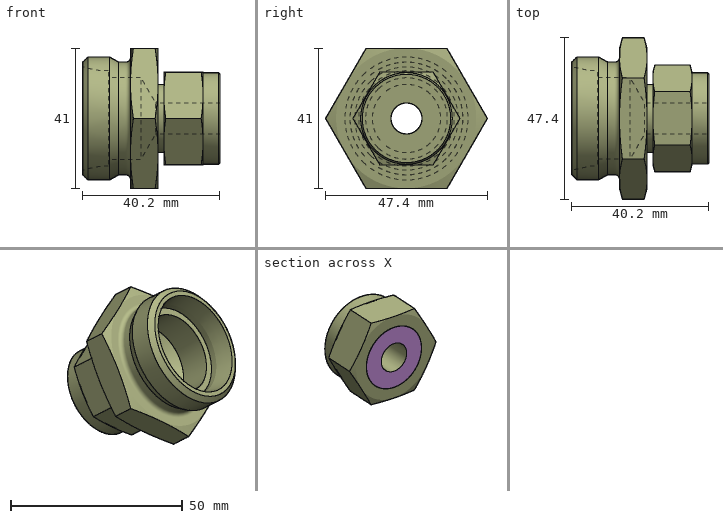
import cadquery as cq
import math

thread_end = 7.85
relief_start = 10.5
fillet_start = 12.65
body_hex_start = 13.95
body_hex_end = 22.0
nut_start = 23.7
nut_end = 35.15
total_length = 40.2

thread_radius = 18.0
thread_chamfer = 1.5
relief_radius = 16.5
neck_radius = 10.0
collar_radius = 13.4
collar_chamfer = 0.45
fillet_radius = body_hex_start - fillet_start

body_hex_corners = 47.35
nut_hex_flats = 27.1
half_hex_sector = math.radians(30)
nut_hex_corners = nut_hex_flats / math.cos(half_hex_sector)
hex_chamfer_angle = 15.0

mouth_radius = 15.1
socket_radius = 13.95
seat_half_angle = 12.0
seat_depth = (mouth_radius - socket_radius) / math.tan(math.radians(seat_half_angle))
socket_depth = 7.5
wide_bore_radius = 11.95
wide_bore_depth = 17.05
through_radius = 4.5
funnel_half_angle = 60.0
funnel_length = (wide_bore_radius - through_radius) / math.tan(math.radians(funnel_half_angle))
funnel_end = wide_bore_depth + funnel_length


def revolve_about_x(profile):
    """Revolve a closed (x, radius) profile of the XY plane about the X axis."""
    return profile.close().revolve(360, (0, 0, 0), (1, 0, 0))


def chamfered_hex(start, end, corners):
    """Hexagonal prism along X with its corners turned down by a cone at each end."""
    prism = (
        cq.Workplane("YZ", origin=(start, 0, 0))
        .polygon(6, corners)
        .extrude(end - start)
    )
    corner_radius = corners / 2
    face_radius = corner_radius * math.cos(half_hex_sector)
    chamfer_length = (corner_radius - face_radius) * math.tan(math.radians(hex_chamfer_angle))
    envelope = revolve_about_x(
        cq.Workplane("XY")
        .moveTo(start, 0)
        .lineTo(start, face_radius)
        .lineTo(start + chamfer_length, corner_radius)
        .lineTo(end - chamfer_length, corner_radius)
        .lineTo(end, face_radius)
        .lineTo(end, 0)
    )
    return prism.intersect(envelope)


def turned_body():
    """Threaded end, relief groove with its fillet, neck and end collar."""
    return revolve_about_x(
        cq.Workplane("XY")
        .lineTo(0, thread_radius - thread_chamfer)
        .lineTo(thread_chamfer, thread_radius)
        .lineTo(thread_end, thread_radius)
        .lineTo(relief_start, relief_radius)
        .lineTo(fillet_start, relief_radius)
        .radiusArc((body_hex_start, relief_radius + fillet_radius), -fillet_radius)
        .lineTo(body_hex_end, relief_radius + fillet_radius)
        .lineTo(body_hex_end, neck_radius)
        .lineTo(nut_start, neck_radius)
        .lineTo(nut_start, collar_radius)
        .lineTo(total_length - collar_chamfer, collar_radius)
        .lineTo(total_length, collar_radius - collar_chamfer)
        .lineTo(total_length, 0)
    )


def bore():
    """Stepped cavity running from the open end right through the part."""
    return revolve_about_x(
        cq.Workplane("XY")
        .lineTo(0, mouth_radius)
        .lineTo(seat_depth, socket_radius)
        .lineTo(socket_depth, socket_radius)
        .lineTo(socket_depth, wide_bore_radius)
        .lineTo(wide_bore_depth, wide_bore_radius)
        .lineTo(funnel_end, through_radius)
        .lineTo(total_length, through_radius)
        .lineTo(total_length, 0)
    )


body_hex = chamfered_hex(body_hex_start, body_hex_end, body_hex_corners)
nut = chamfered_hex(nut_start, nut_end, nut_hex_corners)
result = turned_body().union(body_hex).union(nut).cut(bore())